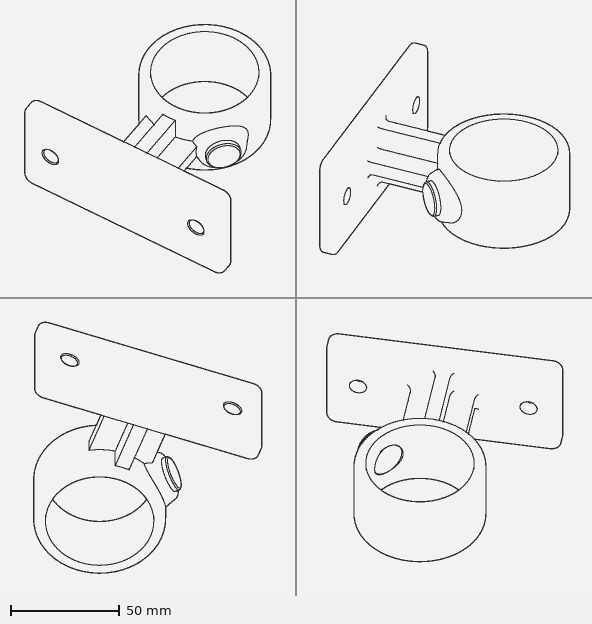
import cadquery as cq
import math

plate_length = 110.0
plate_height = 52.0
plate_thickness = 8.0
plate_corner_radius = 5.0
edge_radius = 2.0
hole_spacing = 80.0
hole_diameter = 8.0
hole_chamfer = 0.5

overall_depth = 100.0
ring_diameter = 61.0
bore_diameter = 50.0
ring_height = 35.0
ring_center_y = overall_depth - ring_diameter / 2

arm_width = 30.0
arm_web = 6.8
arm_root_radius = 2.0
root_margin = 0.1

boss_angle = -45.0
boss_offset = 1.0
boss_face_distance = 34.9
boss_face_radius = 11.1
boss_taper = 1 / 3
boss_edge_radius = 2.0
screw_radius = 8.2
screw_end_distance = 37.6
screw_chamfer = 0.7
screw_tip_distance = bore_diameter / 2


def make_plate():
    plate = cq.Workplane("XY").box(plate_length, plate_thickness, plate_height)
    plate = plate.translate((0, plate_thickness / 2, 0))
    plate = plate.edges("|Y").fillet(plate_corner_radius)
    return plate.faces("<Y or >Y").edges().fillet(edge_radius)


def make_arm():
    """Two crossing webs, rounded where they meet the plate and running into the ring."""
    length = ring_center_y - plate_thickness
    wide_web = cq.Workplane("XY").box(arm_width, length, arm_web)
    tall_web = cq.Workplane("XY").box(arm_web, length, arm_width)
    return wide_web.union(tall_web).translate((0, plate_thickness + length / 2, 0))


def make_ring():
    ring = cq.Workplane("XY").workplane(offset=-ring_height / 2).circle(ring_diameter / 2).extrude(ring_height)
    ring = ring.edges().fillet(edge_radius)
    return ring.translate((0, ring_center_y, 0))


def boss_plane(distance):
    """Plane square to the boss axis at the given distance from the ring axis."""
    angle = math.radians(boss_angle)
    axis_x = math.cos(angle)
    axis_y = math.sin(angle)
    origin = (
        distance * axis_x - boss_offset * axis_y,
        ring_center_y + distance * axis_y + boss_offset * axis_x,
        0,
    )
    return cq.Plane(origin=origin, xDir=(0, 0, 1), normal=(axis_x, axis_y, 0))


def make_boss():
    root_distance = bore_diameter / 2
    height = boss_face_distance - root_distance
    root_radius = boss_face_radius + boss_taper * height
    taper_angle = math.degrees(math.atan(boss_taper))
    outer_end = cq.selectors.DirectionMinMaxSelector(boss_plane(0).zDir)
    boss = cq.Workplane(boss_plane(root_distance)).circle(root_radius).extrude(height, taper=taper_angle)
    return boss.faces(outer_end).edges().fillet(boss_edge_radius)


def make_plate_holes():
    """Through holes with a small chamfer at the front face."""
    countersink_radius = hole_diameter / 2 + hole_chamfer
    holes = cq.Workplane("XY")
    for x in (-hole_spacing / 2, hole_spacing / 2):
        drill = cq.Solid.makeCylinder(
            hole_diameter / 2, plate_thickness, cq.Vector(x, 0, 0), cq.Vector(0, 1, 0)
        )
        chamfer = cq.Solid.makeCone(
            countersink_radius, hole_diameter / 2, hole_chamfer, cq.Vector(x, 0, 0), cq.Vector(0, 1, 0)
        )
        holes = holes.add(drill.fuse(chamfer))
    return holes.combine()


def make_bracket():
    bracket = make_plate().union(make_arm())
    root = cq.selectors.BoxSelector(
        (-arm_width / 2 - root_margin, plate_thickness - root_margin, -arm_width / 2 - root_margin),
        (arm_width / 2 + root_margin, plate_thickness + root_margin, arm_width / 2 + root_margin),
    )
    bracket = bracket.edges(root).fillet(arm_root_radius)
    bracket = bracket.union(make_ring()).union(make_boss())
    bore_plane = cq.Workplane("XY").workplane(offset=-ring_height / 2).center(0, ring_center_y)
    bore = bore_plane.circle(bore_diameter / 2).extrude(ring_height)
    bracket = bracket.cut(bore)
    screw_hole = cq.Workplane(boss_plane(0)).circle(screw_radius).extrude(screw_end_distance)
    return bracket.cut(screw_hole).cut(make_plate_holes())


def make_screw():
    """Plain round screw whose flat tip stops level with the bore."""
    length = screw_end_distance - screw_tip_distance
    screw = cq.Workplane(boss_plane(screw_tip_distance)).circle(screw_radius).extrude(length)
    outer_end = cq.selectors.DirectionMinMaxSelector(boss_plane(0).zDir)
    return screw.faces(outer_end).edges().chamfer(screw_chamfer)


bracket = make_bracket()
screw = make_screw()
result = cq.Compound.makeCompound([bracket.solids().val(), screw.solids().val()])